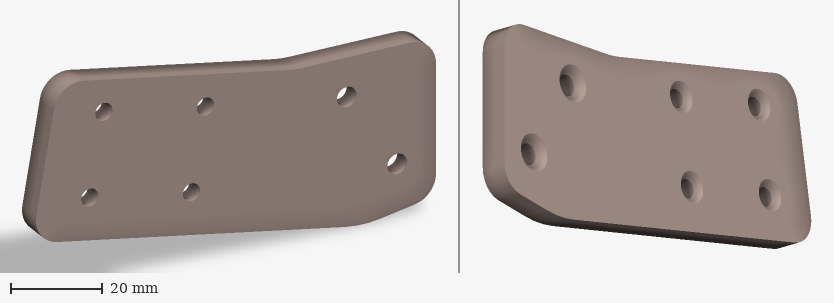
import cadquery as cq
import math

length = 99.5
thickness = 6.4
corner_radius = 6.4
bend_radius = 25.4

tilt = math.radians(10)
arm_width = 38.0
tail_top = 41.2
lower_bend_from_end = 18.2

tail_bore = 4.9
tail_sink = 8.6
arm_bore = 4.3
arm_sink = 7.3
sink_angle = 90

tail_holes = [(22.2, 31.6), (9.6, 12.6)]

arm_hole_start = 45.1
arm_hole_pitch = 25.7
arm_hole_edge = 10.1
arm_hole_rise = 20.2

tail_y = length / 2
bend_y = tail_y - lower_bend_from_end
bend_z = bend_radius * (1 - 1 / math.cos(tilt))


def arm_point(along, across):
    """(Y, Z) of a point given along and across the tilted arm."""
    y = bend_y - along * math.cos(tilt) + across * math.sin(tilt)
    z = bend_z + along * math.sin(tilt) + across * math.cos(tilt)
    return y, z


tip_center_reach = length - lower_bend_from_end - corner_radius
arm_length = corner_radius + (tip_center_reach + corner_radius * math.sin(tilt)) / math.cos(tilt)

tail_bottom_corner = (tail_y, bend_z + lower_bend_from_end * math.tan(tilt))
tail_top_corner = (tail_y, tail_top)
lower_bend = arm_point(0, 0)
tip_bottom_corner = arm_point(arm_length, 0)
tip_top_corner = arm_point(arm_length, arm_width)
upper_bend_along = (tail_top - bend_z - arm_width * math.cos(tilt)) / math.sin(tilt)
upper_bend = arm_point(upper_bend_along, arm_width)


def round_edges(body, points, radius):
    """Fillet the edges running along X through the given (Y, Z) points."""
    for y, z in points:
        middle = (thickness / 2, y, z)
        body = body.edges(cq.selectors.NearestToPointSelector(middle)).fillet(radius)
    return body


def countersunk_hole(body, point, bore, sink):
    """Drill through along X, with the countersink on the -X face."""
    y, z = point
    depth = (sink - bore) / 2 / math.tan(math.radians(sink_angle / 2))
    face = cq.Workplane("YZ").center(y, z)
    shaft = face.circle(bore / 2).extrude(thickness)
    cone = cq.Workplane(
        cq.Solid.makeCone(sink / 2, bore / 2, depth, cq.Vector(0, y, z), cq.Vector(1, 0, 0))
    )
    return body.cut(shaft).cut(cone)


outline = [
    tail_bottom_corner,
    tail_top_corner,
    upper_bend,
    tip_top_corner,
    tip_bottom_corner,
    lower_bend,
]
plate = cq.Workplane("YZ").polyline(outline).close().extrude(thickness)
outer_corners = [tail_bottom_corner, tail_top_corner, tip_top_corner, tip_bottom_corner]
plate = round_edges(plate, outer_corners, corner_radius)
plate = round_edges(plate, [upper_bend, lower_bend], bend_radius)

for from_end, height in tail_holes:
    plate = countersunk_hole(plate, (tail_y - from_end, height), tail_bore, tail_sink)

for along in (arm_hole_start, arm_hole_start + arm_hole_pitch):
    for across in (arm_hole_edge, arm_hole_edge + arm_hole_rise):
        plate = countersunk_hole(plate, arm_point(along, across), arm_bore, arm_sink)

result = plate